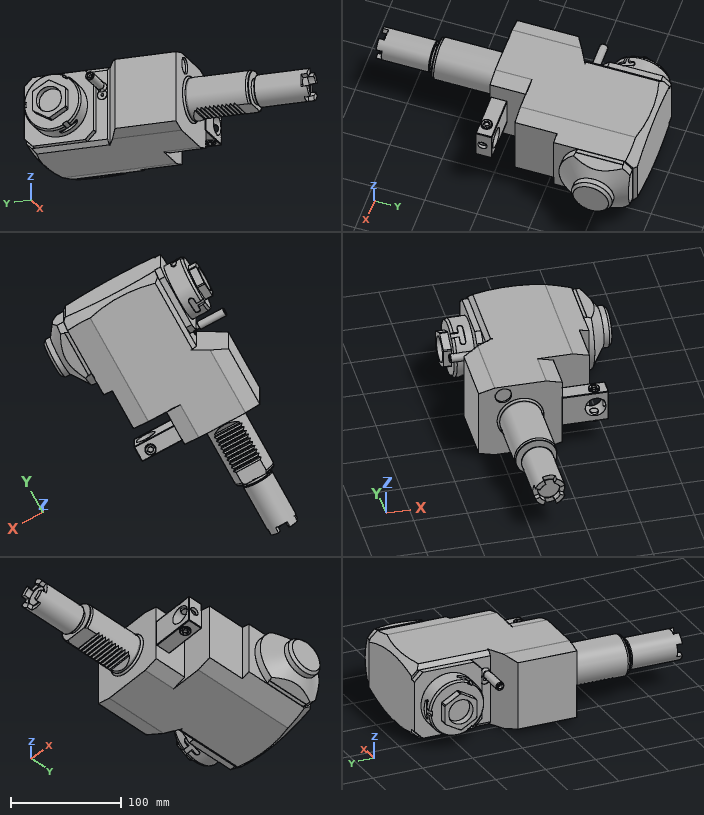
import math

import cadquery as cq


HALF_HEIGHT = 37.5
REAR_Y = 154.0
SEAT_HALF_WIDTH = 39.0
SEAT_SIDE_END_Y = 59.0
SPINDLE_FACE_X = -14.5
SPINDLE_FACE_START_Y = 75.2
LEAN_END_X = -8.6
HEAD_RIGHT_X = 81.6
HEAD_RIGHT_START_Y = 75.2
NECK_RIGHT_X = 72.7
NECK_START_Y = 35.1
SIDE_SLOPE = math.tan(math.radians(15))
SEAT_CREASE_X = 24.1
HEAD_CREASE_X = 57.1
SPINDLE_EDGE_CHAMFER = 4.2
REAR_CORNER_LENGTH = 3.5
REAR_CORNER_WIDTH = 2.8
REAR_CONE_X = 23.4
REAR_CONE_TOP_RADIUS = 132.6
REAR_CONE_TOP_Y = 149.8
PLUG_X = -15.9
PLUG_Z = 27.5
PLUG_RADIUS = 7.6
PLUG_RECESS = 2.0

SPINDLE_Y = 120.0
PLATE_FACE_X = -20.4
PLATE_HALF_HEIGHT = 33.3
PLATE_START_Y = 86.6
PLATE_CORNER = 8.2
NUT_RADIUS = 27.5
NUT_FACE_X = -39.8
NUT_CHAMFER_LENGTH = 2.6
NUT_CHAMFER_WIDTH = 1.3
NUT_SLOT_COUNT = 3
NUT_SLOT_DEPTH = 2.5
NUT_SLOT_X = -29.9
NUT_SLOT_WIDTH = 5.2
NUT_SLOT_LENGTH = 19.0
NUT_NOTCH_WIDTH = 4.8
HEX_FACE_X = -47.3
HEX_ACROSS_FLATS = 32.0
HEX_CORNER_RADIUS = 18.1
HEX_BORE_RADIUS = 12.1

NOZZLE_Y = 80.6
NOZZLE_Z = 17.5
NOZZLE_RADIUS = 4.0
NOZZLE_CHAMFER = 0.8
NOZZLE_BACK_X = -19.9
NOZZLE_NECK_RADIUS = 2.5
NOZZLE_NECK_END_X = -16.8
NOZZLE_FOOT_RADIUS = 4.6
NOZZLE_BORE_RADIUS = 2.0
NOZZLE_BORE_DEPTH = 4.0
OUTLET_Z = 10.3
OUTLET_RADIUS = 4.6
OUTLET_RECESS = 0.5
OUTLET_HOLE_RADIUS = 1.2
OUTLET_HOLE_DEPTH = 5.0

CAP_RADIUS = 37.4
CAP_CONE_START_X = 88.8
NOSE_START_X = 101.6
NOSE_RADIUS = 19.5
NOSE_END_X = 109.7
NOSE_CHAMFER_LENGTH = 2.8
NOSE_CHAMFER_WIDTH = 2.5
CAP_REAR_Y = 150.6
CAP_RELIEF_END_X = 85.0
CAP_RELIEF_DEPTH = 0.5

BRACKET_END_X = 82.6
BRACKET_START_Y = 0.6
BRACKET_END_Y = 16.4
BRACKET_HALF_HEIGHT = 15.6
BRACKET_CHAMFER = 0.6
BRACKET_HOLE_X = 70.3
BRACKET_HOLE_RADIUS = 9.6
END_HOLE_RADIUS = 4.3
SCREW_Y = 7.2
SCREW_RADIUS = 5.2
SCREW_TIP_RADIUS = 3.6
SCREW_TIP_Z = 8.4
SCREW_SHOULDER_Z = 10.0
SCREW_HEAD_Z = 17.6
SCREW_HEAD_CHAMFER = 0.8
SCREW_SOCKET_ACROSS_FLATS = 5.0
SCREW_SOCKET_DEPTH = 4.0

SEAL_RING_RADIUS = 20.2
SEAL_SECTION_RADIUS = 1.6
SEAL_CENTRE = 0.3
SHANK_RADIUS = 20.0
SHANK_LENGTH = 63.0
SHANK_RELIEF_END = 3.1
SHANK_RELIEF_DEPTH = 0.3
SHANK_CHAMFER_START = 60.3
SHANK_CHAMFER_END = 62.2
SHANK_CHAMFER_WIDTH = 0.8
NECK_RADIUS = 12.1
NECK_END = 66.2
COUPLING_RADIUS = 15.0
COUPLING_CHAMFER = 0.8
COUPLING_SLOT_START = 112.1
COUPLING_END = 117.55
COUPLING_BORE_RADIUS = 10.2
COUPLING_BORE_FLOOR = 111.1
COUPLING_SLOT_COUNT = 4
COUPLING_SLOT_HALF_ANGLE = 23.3
RACK_FLAT_Z = -15.6
RACK_FLAT_START = 8.5
RACK_GROOVE_COUNT = 10
RACK_FIRST_GROOVE = 11.5
RACK_PITCH = 4.0
RACK_GROOVE_DEPTH = 1.6
RACK_GROOVE_WIDTH = 3.0

MARGIN = 10.0


def box(x_range, y_range, z_range):
    (x0, x1), (y0, y1), (z0, z1) = x_range, y_range, z_range
    return cq.Workplane("XY").box(x1 - x0, y1 - y0, z1 - z0, centered=False).translate((x0, y0, z0))


def cylinder_x(radius, x0, x1, y, z):
    return cq.Workplane("YZ", origin=(x0, y, z)).circle(radius).extrude(x1 - x0)


def turned_about_spindle(points):
    """Revolve an (x, radius) profile about the spindle axis."""
    return (
        cq.Workplane("XY", origin=(0, SPINDLE_Y, 0))
        .polyline(points).close()
        .revolve(360, (0, 0, 0), (1, 0, 0))
    )


def side_profile(left_points, crease_x, right_x):
    """XZ outline, symmetric in z, whose right side falls away at 15 degrees."""
    right_z = HALF_HEIGHT - (right_x - crease_x) * SIDE_SLOPE
    upper = left_points + [(crease_x, HALF_HEIGHT), (right_x, right_z)]
    lower = [(x, -z) for x, z in reversed(upper)]
    return cq.Workplane("XZ").polyline(upper + lower).close()


def make_housing():
    outline = [
        (-SEAT_HALF_WIDTH, 0),
        (SEAT_HALF_WIDTH, 0),
        (SEAT_HALF_WIDTH, NECK_START_Y),
        (NECK_RIGHT_X, NECK_START_Y),
        (NECK_RIGHT_X, HEAD_RIGHT_START_Y),
        (HEAD_RIGHT_X, HEAD_RIGHT_START_Y),
        (HEAD_RIGHT_X, REAR_Y - REAR_CORNER_WIDTH),
        (HEAD_RIGHT_X - REAR_CORNER_LENGTH, REAR_Y),
        (SPINDLE_FACE_X, REAR_Y),
        (SPINDLE_FACE_X, SPINDLE_FACE_START_Y),
        (LEAN_END_X, SPINDLE_FACE_START_Y),
        (-SEAT_HALF_WIDTH, SEAT_SIDE_END_Y),
    ]
    plan = cq.Workplane("XY").polyline(outline).close().extrude(HALF_HEIGHT, both=True)

    seat_left_z = HALF_HEIGHT - (SEAT_HALF_WIDTH - SEAT_CREASE_X) * SIDE_SLOPE
    seat_left = [(-SEAT_HALF_WIDTH, seat_left_z), (-SEAT_CREASE_X, HALF_HEIGHT)]
    head_left = [
        (SPINDLE_FACE_X, HALF_HEIGHT - SPINDLE_EDGE_CHAMFER),
        (SPINDLE_FACE_X + SPINDLE_EDGE_CHAMFER, HALF_HEIGHT),
    ]
    seat = side_profile(seat_left, SEAT_CREASE_X, SEAT_HALF_WIDTH).extrude(-NECK_START_Y)
    neck = (
        side_profile(seat_left, HEAD_CREASE_X, NECK_RIGHT_X)
        .extrude(NECK_START_Y - SPINDLE_FACE_START_Y)
        .translate((0, NECK_START_Y, 0))
    )
    head = (
        side_profile(head_left, HEAD_CREASE_X, HEAD_RIGHT_X)
        .extrude(SPINDLE_FACE_START_Y - REAR_Y)
        .translate((0, SPINDLE_FACE_START_Y, 0))
    )
    return plan.intersect(seat.union(neck).union(head)).intersect(make_rear_bevel())


def make_rear_bevel():
    """Double 45 degree cone about Z that leaves curved bevels on the rear edges."""
    middle_radius = REAR_CONE_TOP_RADIUS + HALF_HEIGHT
    return (
        cq.Workplane("XZ")
        .polyline([
            (0, -HALF_HEIGHT),
            (REAR_CONE_TOP_RADIUS, -HALF_HEIGHT),
            (middle_radius, 0),
            (REAR_CONE_TOP_RADIUS, HALF_HEIGHT),
            (0, HALF_HEIGHT),
        ])
        .close()
        .revolve(360, (0, 0, 0), (0, 1, 0))
        .translate((REAR_CONE_X, REAR_CONE_TOP_Y - REAR_CONE_TOP_RADIUS, 0))
    )


def make_plate():
    plate = box(
        (PLATE_FACE_X, SPINDLE_FACE_X),
        (PLATE_START_Y, REAR_Y),
        (-PLATE_HALF_HEIGHT, PLATE_HALF_HEIGHT),
    )
    return plate.edges("|X").chamfer(PLATE_CORNER)


def make_nut():
    nut = turned_about_spindle([
        (PLATE_FACE_X, 0),
        (PLATE_FACE_X, NUT_RADIUS),
        (NUT_FACE_X + NUT_CHAMFER_LENGTH, NUT_RADIUS),
        (NUT_FACE_X, NUT_RADIUS - NUT_CHAMFER_WIDTH),
        (NUT_FACE_X, 0),
    ])
    floor_y = SPINDLE_Y + NUT_RADIUS - NUT_SLOT_DEPTH
    slot = (
        cq.Workplane("XZ", origin=(NUT_SLOT_X, floor_y, 0))
        .slot2D(NUT_SLOT_LENGTH, NUT_SLOT_WIDTH, 90)
        .extrude(-MARGIN)
    )
    notch = box(
        (NUT_FACE_X - 1, NUT_SLOT_X),
        (floor_y, floor_y + MARGIN),
        (-NUT_NOTCH_WIDTH / 2, NUT_NOTCH_WIDTH / 2),
    )
    cutter = slot.union(notch)
    for i in range(NUT_SLOT_COUNT):
        angle = i * 360 / NUT_SLOT_COUNT
        nut = nut.cut(cutter.rotate((0, SPINDLE_Y, 0), (1, SPINDLE_Y, 0), angle))
    return nut


def make_hex():
    """Hexagon with its points up and down, bored down to the nut face."""
    across_points = HEX_ACROSS_FLATS / math.cos(math.radians(30))
    hexagon = (
        cq.Workplane("YZ", origin=(HEX_FACE_X, SPINDLE_Y, 0))
        .transformed(rotate=(0, 0, 90))
        .polygon(6, across_points)
        .circle(HEX_BORE_RADIUS)
        .extrude(NUT_FACE_X - HEX_FACE_X)
    )
    return hexagon.intersect(cylinder_x(HEX_CORNER_RADIUS, HEX_FACE_X, NUT_FACE_X, SPINDLE_Y, 0))


def make_nozzle():
    nozzle = (
        cq.Workplane("XY", origin=(0, NOZZLE_Y, NOZZLE_Z))
        .polyline([
            (HEX_FACE_X, 0),
            (HEX_FACE_X, NOZZLE_RADIUS - NOZZLE_CHAMFER),
            (HEX_FACE_X + NOZZLE_CHAMFER, NOZZLE_RADIUS),
            (NOZZLE_BACK_X, NOZZLE_RADIUS),
            (NOZZLE_BACK_X, NOZZLE_NECK_RADIUS),
            (NOZZLE_NECK_END_X, NOZZLE_NECK_RADIUS),
            (SPINDLE_FACE_X, NOZZLE_FOOT_RADIUS),
            (SPINDLE_FACE_X, 0),
        ])
        .close()
        .revolve(360, (0, 0, 0), (1, 0, 0))
    )
    bore_end_x = HEX_FACE_X + NOZZLE_BORE_DEPTH
    return nozzle.cut(cylinder_x(NOZZLE_BORE_RADIUS, HEX_FACE_X, bore_end_x, NOZZLE_Y, NOZZLE_Z))


def make_outlet_cutter():
    """Shallow round seat below the nozzle with a small hole at its centre."""
    seat_x = SPINDLE_FACE_X + OUTLET_RECESS
    seat = cylinder_x(OUTLET_RADIUS, SPINDLE_FACE_X, seat_x, NOZZLE_Y, OUTLET_Z)
    hole_end_x = SPINDLE_FACE_X + OUTLET_HOLE_DEPTH
    return seat.union(cylinder_x(OUTLET_HOLE_RADIUS, SPINDLE_FACE_X, hole_end_x, NOZZLE_Y, OUTLET_Z))


def make_cap():
    cap = turned_about_spindle([
        (HEAD_RIGHT_X, 0),
        (HEAD_RIGHT_X, CAP_RADIUS),
        (CAP_CONE_START_X, CAP_RADIUS),
        (NOSE_START_X, NOSE_RADIUS),
        (NOSE_END_X - NOSE_CHAMFER_LENGTH, NOSE_RADIUS),
        (NOSE_END_X, NOSE_RADIUS - NOSE_CHAMFER_WIDTH),
        (NOSE_END_X, 0),
    ])

    def slope_z(x):
        return HALF_HEIGHT - (x - HEAD_CREASE_X) * SIDE_SLOPE

    upper = [
        (HEAD_RIGHT_X, slope_z(HEAD_RIGHT_X) - CAP_RELIEF_DEPTH),
        (CAP_RELIEF_END_X, slope_z(CAP_RELIEF_END_X) - CAP_RELIEF_DEPTH),
        (CAP_RELIEF_END_X, slope_z(CAP_RELIEF_END_X)),
        (NOSE_END_X, slope_z(NOSE_END_X)),
    ]
    lower = [(x, -z) for x, z in reversed(upper)]
    envelope = cq.Workplane("XZ").polyline(upper + lower).close().extrude(-CAP_REAR_Y)
    return cap.intersect(envelope)


def make_clamp_screw():
    """Upper clamp screw of the bracket, with a hexagon socket in its head."""
    screw = (
        cq.Workplane("XZ", origin=(BRACKET_HOLE_X, SCREW_Y, 0))
        .polyline([
            (0, SCREW_TIP_Z),
            (SCREW_TIP_RADIUS, SCREW_TIP_Z),
            (SCREW_RADIUS, SCREW_SHOULDER_Z),
            (SCREW_RADIUS, SCREW_HEAD_Z - SCREW_HEAD_CHAMFER),
            (SCREW_RADIUS - SCREW_HEAD_CHAMFER, SCREW_HEAD_Z),
            (0, SCREW_HEAD_Z),
        ])
        .close()
        .revolve(360, (0, 0, 0), (0, 1, 0))
    )
    socket = (
        cq.Workplane("XY", origin=(BRACKET_HOLE_X, SCREW_Y, SCREW_HEAD_Z))
        .polygon(6, SCREW_SOCKET_ACROSS_FLATS / math.cos(math.radians(30)))
        .extrude(-SCREW_SOCKET_DEPTH)
    )
    return screw.cut(socket)


def make_bracket():
    bracket = box(
        (SEAT_HALF_WIDTH, BRACKET_END_X),
        (BRACKET_START_Y, BRACKET_END_Y),
        (-BRACKET_HALF_HEIGHT, BRACKET_HALF_HEIGHT),
    )
    bracket = bracket.edges("|X or >X").chamfer(BRACKET_CHAMFER)
    cross_hole = (
        cq.Workplane("XZ", origin=(BRACKET_HOLE_X, 0, 0))
        .circle(BRACKET_HOLE_RADIUS)
        .extrude(-BRACKET_END_Y)
    )
    end_hole = cylinder_x(END_HOLE_RADIUS, BRACKET_HOLE_X, BRACKET_END_X, SCREW_Y, 0)
    screw = make_clamp_screw()
    return bracket.cut(cross_hole).cut(end_hole).union(screw).union(screw.mirror("XY"))


def make_shank():
    end_radius = SHANK_RADIUS - SHANK_CHAMFER_WIDTH
    relief_radius = SHANK_RADIUS - SHANK_RELIEF_DEPTH
    shank = (
        cq.Workplane("XY")
        .lineTo(relief_radius, 0)
        .lineTo(SHANK_RADIUS, -SHANK_RELIEF_END)
        .lineTo(SHANK_RADIUS, -SHANK_CHAMFER_START)
        .lineTo(end_radius, -SHANK_CHAMFER_END)
        .lineTo(end_radius, -SHANK_LENGTH)
        .lineTo(NECK_RADIUS, -SHANK_LENGTH)
        .lineTo(NECK_RADIUS, -NECK_END)
        .lineTo(COUPLING_RADIUS - COUPLING_CHAMFER, -NECK_END)
        .lineTo(COUPLING_RADIUS, -NECK_END - COUPLING_CHAMFER)
        .lineTo(COUPLING_RADIUS, -COUPLING_END)
        .lineTo(COUPLING_BORE_RADIUS, -COUPLING_END)
        .lineTo(COUPLING_BORE_RADIUS, -COUPLING_BORE_FLOOR)
        .lineTo(0, -COUPLING_BORE_FLOOR)
        .close()
        .revolve(360, (0, 0, 0), (0, 1, 0))
    )
    seal_ring = (
        cq.Workplane("XY")
        .center(SEAL_RING_RADIUS, -SEAL_CENTRE)
        .circle(SEAL_SECTION_RADIUS)
        .revolve(360, (-SEAL_RING_RADIUS, 0, 0), (-SEAL_RING_RADIUS, 1, 0))
    )
    shank = shank.union(seal_ring)
    return shank.cut(make_rack_cutter()).cut(make_coupling_cutter())


def make_rack_cutter():
    """Flat along the -Z side of the shank, led in at 45 degrees, with V grooves."""
    depth = SHANK_RADIUS + MARGIN + RACK_FLAT_Z
    flat = (
        cq.Workplane("YZ")
        .polyline([
            (-RACK_FLAT_START, RACK_FLAT_Z),
            (-RACK_FLAT_START + depth, RACK_FLAT_Z - depth),
            (-SHANK_LENGTH, RACK_FLAT_Z - depth),
            (-SHANK_LENGTH, RACK_FLAT_Z),
        ])
        .close()
        .extrude(SHANK_RADIUS, both=True)
    )
    for i in range(RACK_GROOVE_COUNT):
        y = -(RACK_FIRST_GROOVE + i * RACK_PITCH)
        groove = (
            cq.Workplane("YZ")
            .polyline([
                (y - RACK_GROOVE_WIDTH / 2, RACK_FLAT_Z),
                (y, RACK_FLAT_Z + RACK_GROOVE_DEPTH),
                (y + RACK_GROOVE_WIDTH / 2, RACK_FLAT_Z),
            ])
            .close()
            .extrude(SHANK_RADIUS, both=True)
        )
        flat = flat.union(groove)
    return flat


def make_coupling_cutter():
    """Wedge-shaped slots with radial sides that leave the coupling claws."""
    reach = COUPLING_RADIUS + MARGIN
    half_width = reach * math.tan(math.radians(COUPLING_SLOT_HALF_ANGLE))
    wedge = (
        cq.Workplane("XZ", origin=(0, -COUPLING_SLOT_START, 0))
        .polyline([(0, 0), (reach, half_width), (reach, -half_width)])
        .close()
        .extrude(COUPLING_END - COUPLING_SLOT_START)
    )
    cutter = wedge
    for i in range(1, COUPLING_SLOT_COUNT):
        cutter = cutter.union(wedge.rotate((0, 0, 0), (0, 1, 0), i * 360 / COUPLING_SLOT_COUNT))
    return cutter


plug_recess = (
    cq.Workplane("XZ", origin=(PLUG_X, 0, PLUG_Z)).circle(PLUG_RADIUS).extrude(-PLUG_RECESS)
)

result = make_housing().cut(plug_recess).cut(make_outlet_cutter())
for piece in (
    make_plate(),
    make_nut(),
    make_hex(),
    make_nozzle(),
    make_cap(),
    make_bracket(),
    make_shank(),
):
    result = result.union(piece)